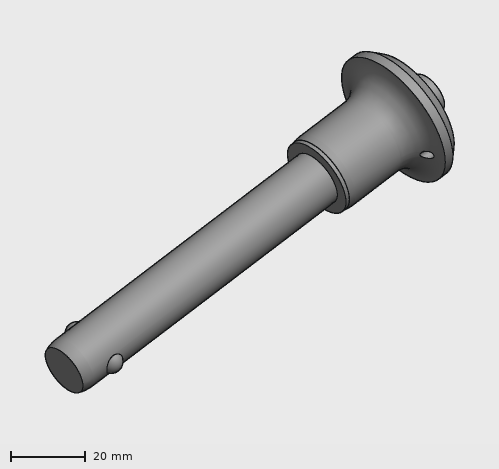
import cadquery as cq

total_length = 136.2

rim_radius = 20.0
rim_width = 2.9
rim_bevel_length = 3.3
rim_bevel_depth = 2.9
sleeve_diameter = 23.3
sleeve_radius = sleeve_diameter / 2
flare_radius = rim_radius - sleeve_radius
sleeve_end_drop = 0.3
sleeve_end_length = 2.0
sleeve_length = 18.9
collar_radius = 11.3
collar_length = 1.2

button_radius = 6.0
button_height = 7.5
button_fillet = 0.5

shank_diameter = 16.0
shank_radius = shank_diameter / 2
tip_round_length = 3.4
tip_round_drop = 0.7
ball_radius = 3.3
ball_reach = 9.8
ball_from_tip = 11.2

hole_radius = 1.5
hole_offset = 15.0

sleeve_end = collar_length
flare_start = sleeve_end + sleeve_length
rim_start = flare_start + flare_radius
bevel_start = rim_start + rim_width
handle_top = bevel_start + rim_bevel_length
button_top = handle_top + button_height
tip = button_top - total_length


def tangent_arc_radius(length, drop):
    """Radius of an arc that leaves a cylinder tangentially and drops over a length."""
    return (length**2 + drop**2) / (2 * drop)


def add_end_round(outline, start, radius, length, drop):
    """Draw a rounded end toward -Y from a cylinder of the given radius."""
    arc_radius = tangent_arc_radius(length, drop)
    return outline.radiusArc((radius - drop, start - length), arc_radius)


def make_handle():
    outline = (
        cq.Workplane("XY")
        .moveTo(0, handle_top)
        .lineTo(rim_radius - rim_bevel_depth, handle_top)
        .lineTo(rim_radius, bevel_start)
        .lineTo(rim_radius, rim_start)
        .radiusArc((sleeve_radius, flare_start), -flare_radius)
        .lineTo(sleeve_radius, sleeve_end + sleeve_end_length)
    )
    outline = add_end_round(
        outline, sleeve_end + sleeve_end_length, sleeve_radius, sleeve_end_length, sleeve_end_drop
    )
    outline = (
        outline.lineTo(collar_radius, sleeve_end)
        .lineTo(collar_radius, 0)
        .lineTo(0, 0)
        .close()
    )
    return outline.revolve(360, (0, 0, 0), (0, 1, 0))


def make_shank():
    round_start = tip + tip_round_length
    outline = (
        cq.Workplane("XY")
        .moveTo(0, sleeve_end)
        .lineTo(shank_radius, sleeve_end)
        .lineTo(shank_radius, round_start)
    )
    outline = add_end_round(outline, round_start, shank_radius, tip_round_length, tip_round_drop)
    return outline.lineTo(0, tip).close().revolve(360, (0, 0, 0), (0, 1, 0))


def make_button():
    return (
        cq.Workplane("XZ", origin=(0, handle_top, 0))
        .circle(button_radius)
        .extrude(-button_height)
        .faces(">Y")
        .edges()
        .fillet(button_fillet)
    )


def make_ball(side):
    centre_x = side * (ball_reach - ball_radius)
    return cq.Workplane("XY").sphere(ball_radius).translate((centre_x, tip + ball_from_tip, 0))


def make_lanyard_hole():
    return (
        cq.Workplane("XZ", origin=(hole_offset, 0, 0))
        .circle(hole_radius)
        .extrude(-handle_top)
    )


result = make_handle().cut(make_lanyard_hole()).union(make_shank()).union(make_button())
for side in (-1, 1):
    result = result.union(make_ball(side))